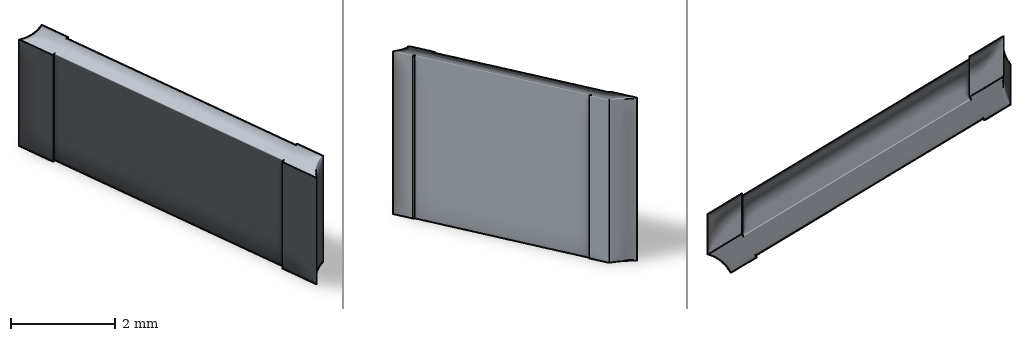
import cadquery as cq

length = 6.7
depth = 0.55
height = 3.2

body_gap = 0.04
body_depth = depth - 2 * body_gap
body_length = 6.245
body_edge_radius = 0.02

terminal_width = 0.78
flare_reach = 0.19
flat_end_depth = 0.14
flare_bulge = 0.04
rim_radius = 0.0235

front = -depth / 2
back = depth / 2
tip_x = -length / 2
end_x = tip_x + flare_reach
inner_x = tip_x + terminal_width
flare_top = back - flat_end_depth


def make_body():
    """Block with rounded long edges and its end faces buried in the terminals."""
    return cq.Workplane("XY").box(body_length, body_depth, height).edges("|X").fillet(body_edge_radius)


def make_left_terminal():
    """End cap with an arc-shaped flare, rounded along its outer and back rims."""
    arc_middle = ((tip_x + end_x) / 2 + flare_bulge, (front + flare_top) / 2)
    cap = (
        cq.Workplane("XY")
        .workplane(offset=-height / 2)
        .moveTo(tip_x, front)
        .lineTo(inner_x, front)
        .lineTo(inner_x, back)
        .lineTo(end_x, back)
        .lineTo(end_x, flare_top)
        .threePointArc(arc_middle, (tip_x, front))
        .close()
        .extrude(height)
    )
    outer_rims = cap.faces("|Z").edges("(not <Y) and (not >X)")
    return outer_rims.fillet(rim_radius)


left_terminal = make_left_terminal()
right_terminal = left_terminal.mirror("YZ")
result = make_body().union(left_terminal).union(right_terminal)